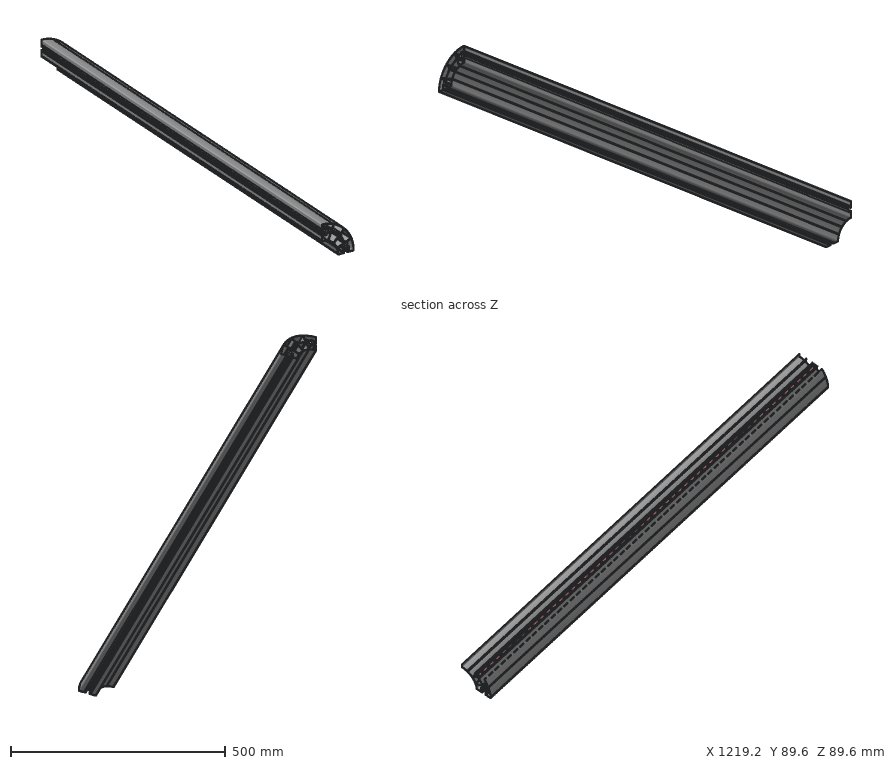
import cadquery as cq
import math

length = 1219.2
outer_radius = 88.9
inner_radius = 44.2
end_overhang = 0.762
corner_radius = 2.65
wall = 2.0
symmetry_angle = 45.0
mid_radius = (outer_radius + inner_radius) / 2

slot_opening = 8.85
slot_lip_depth = 4.2
slot_wing_width = 13.6
slot_depth = 12.0

core_width = 9.9
core_depth = 22.1
core_hole_diameter = 7.34

hub_radius = 69.5
hub_outer_diameter = 11.1
hub_hole_diameter = 7.28

rib_thickness = 2.4
spine_thickness = 2.45
core_rib_angle = 22.15
rib_inner_radius = inner_radius + wall / 2
rib_outer_radius = outer_radius - wall / 2


def polar(radius, angle):
    """YZ point at a radius and an angle measured from +Z towards +Y."""
    turn = math.radians(angle)
    return (radius * math.sin(turn), radius * math.cos(turn))


def behind_end(depth):
    """YZ point on the slot's middle line, at a depth behind the -Y end face."""
    return (depth - end_overhang, mid_radius)


core_centre = behind_end(core_depth)
hub_centre = polar(hub_radius, symmetry_angle)


def section_at(centre):
    """Workplane on the X = 0 end, centred on a YZ point."""
    return cq.Workplane("YZ").center(*centre)


def mirrored(body):
    """A body together with its reflection about the plane Y = Z."""
    reflection = body.rotate((0, 0, 0), (1, 0, 0), -90).mirror("XY")
    return body.union(reflection)


def quarter_ring(outer, inner, overhang, corner):
    """Quarter ring whose flat ends reach past the arc centre by the overhang."""
    outer_end = math.sqrt(outer**2 - overhang**2)
    inner_end = math.sqrt(inner**2 - overhang**2)
    ring = (
        cq.Workplane("YZ")
        .moveTo(-overhang, outer_end)
        .threePointArc(polar(outer, symmetry_angle), (outer_end, -overhang))
        .lineTo(inner_end, -overhang)
        .threePointArc(polar(inner, symmetry_angle), (-overhang, inner_end))
        .close()
        .extrude(length)
    )
    return ring.edges("|X").fillet(corner)


def skin():
    """Closed outer wall of the profile."""
    envelope = quarter_ring(outer_radius, inner_radius, end_overhang, corner_radius)
    hollow = quarter_ring(
        outer_radius - wall, inner_radius + wall, end_overhang - wall, corner_radius - wall
    )
    return envelope.cut(hollow)


def block(near_depth, far_depth, width):
    """Rectangular bar on the slot's middle line, between two depths behind the end face."""
    middle = behind_end((near_depth + far_depth) / 2)
    return section_at(middle).rect(far_depth - near_depth, width).extrude(length)


def rib(start, end, thickness):
    """Straight rib between two YZ points."""
    run_y = end[0] - start[0]
    run_z = end[1] - start[1]
    middle = ((start[0] + end[0]) / 2, (start[1] + end[1]) / 2)
    slope = math.degrees(math.atan2(run_z, run_y))
    return (
        section_at(middle)
        .transformed(rotate=(0, 0, slope))
        .rect(math.hypot(run_y, run_z), thickness)
        .extrude(length)
    )


def radial_rib(angle, thickness):
    """Rib from the inner skin to the outer skin."""
    return rib(polar(rib_inner_radius, angle), polar(rib_outer_radius, angle), thickness)


def end_structure():
    """Slot housing, screw core and ribs behind the -Y end face."""
    housing = block(0, slot_depth + wall, slot_wing_width + 2 * wall)
    core = block(slot_depth, core_depth + core_width / 2, core_width)
    return (
        housing.union(core)
        .union(radial_rib(core_rib_angle, rib_thickness))
        .union(rib(core_centre, hub_centre, rib_thickness))
    )


def centre_structure():
    """Hub and the radial spine through it."""
    hub = section_at(hub_centre).circle(hub_outer_diameter / 2).extrude(length)
    return hub.union(radial_rib(symmetry_angle, spine_thickness))


def end_cuts():
    """T-slot and screw hole behind the -Y end face."""
    mouth = block(0, slot_depth, slot_opening)
    wings = block(slot_lip_depth, slot_depth, slot_wing_width)
    hole = section_at(core_centre).circle(core_hole_diameter / 2).extrude(length)
    return mouth.union(wings).union(hole)


hub_hole = section_at(hub_centre).circle(hub_hole_diameter / 2).extrude(length)

result = (
    skin()
    .union(mirrored(end_structure()))
    .union(centre_structure())
    .cut(mirrored(end_cuts()))
    .cut(hub_hole)
)